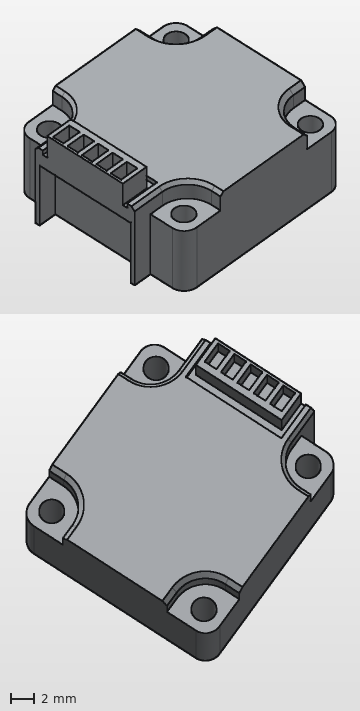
import cadquery as cq

side = 20.0
half = side / 2
body_height = 9.0
corner_radius = 1.5

ledge_height = 7.0
hole_diameter = 2.2
hole_inset = 2.0
step_radius = 3.01
step_inset = corner_radius + step_radius
rear_bevel = 0.48
front_bevel = 0.37

overhang = 2.0
front_y = -half - overhang
housing_width = 11.81
rib_thickness = 0.48
front_step_inset = (side - housing_width) / 2

tray_width = 10.03
tray_length = 3.78
tray_depth = 0.5
connector_width = 9.02
connector_length = 3.0
connector_top = 11

socket_count = 5
socket_pitch = 1.72
socket_width = 1.23
socket_length = 2.05
socket_front_wall = 0.26
socket_depth = 2.0


def front_block(width, length, bottom, top):
    """Block centred in X that runs back from the foremost face."""
    return (
        cq.Workplane("XY", origin=(0, front_y, bottom))
        .box(width, length, top - bottom, centered=(True, False, False))
    )


def step_outline(z, inset_x, inset_y, overrun, growth):
    """Outline at height z of the rear right step, with a rounded inner corner.

    It runs past the body by overrun; growth moves the inner edges inward.
    """
    radius = step_radius + growth
    left = half - inset_x - growth
    bottom = half - inset_y - growth
    outer = half + overrun
    return (
        cq.Workplane("XY", origin=(0, 0, z))
        .moveTo(left, outer)
        .lineTo(left, bottom + radius)
        .radiusArc((left + radius, bottom), -radius)
        .lineTo(outer, bottom)
        .lineTo(outer, outer)
        .close()
    )


def corner_step(inset_x, inset_y, overrun, bevel_size):
    """Cutter for the rear right corner: upright wall with a 45 degree bevel at its upper edge."""
    wall = step_outline(ledge_height, inset_x, inset_y, overrun, 0).extrude(body_height - ledge_height)
    lower = step_outline(body_height - bevel_size, inset_x, inset_y, overrun, 0)
    upper = step_outline(body_height, inset_x, inset_y, overrun, bevel_size)
    bevel = cq.Solid.makeLoft([lower.val(), upper.val()], True)
    return wall.union(cq.Workplane(bevel))


body = cq.Workplane("XY").box(side, side, body_height, centered=(True, True, False))
body = body.edges("|Z").fillet(corner_radius)

housing = front_block(housing_width, overhang + step_inset, 0, body_height)
hollow = front_block(housing_width - 2 * rib_thickness, overhang, 0, ledge_height)
result = body.union(housing.cut(hollow))

rear_step = corner_step(step_inset, step_inset, overhang, rear_bevel)
front_step = corner_step(front_step_inset, step_inset, overhang, front_bevel).mirror("XZ")
for step in (rear_step, front_step):
    result = result.cut(step).cut(step.mirror("YZ"))

hole_spacing = side - 2 * hole_inset
holes = (
    cq.Workplane("XY")
    .rarray(hole_spacing, hole_spacing, 2, 2)
    .circle(hole_diameter / 2)
    .extrude(body_height)
)
result = result.cut(holes)

tray_floor = body_height - tray_depth
result = result.cut(front_block(tray_width, tray_length, tray_floor, body_height))
result = result.union(front_block(connector_width, connector_length, tray_floor, connector_top))

socket_y = front_y + socket_front_wall + socket_length / 2
sockets = (
    cq.Workplane("XY", origin=(0, socket_y, connector_top - socket_depth))
    .rarray(socket_pitch, 0.22, socket_count, 1)
    .rect(socket_width, socket_length)
    .extrude(socket_depth)
)
result = result.cut(sockets)